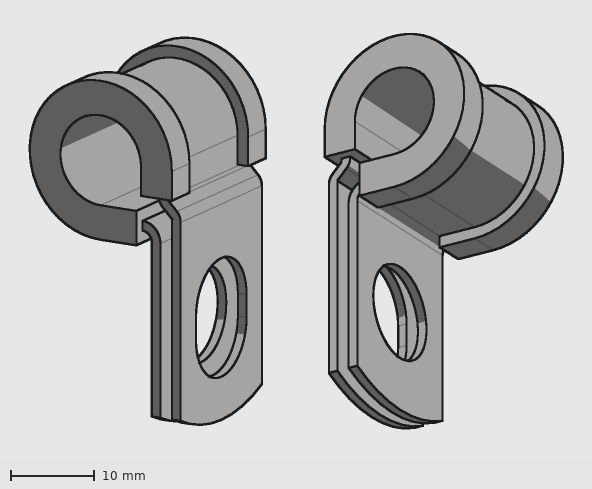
import cadquery as cq
import math


total_width = 22.1
collar_width = 4.15
collar_radius = 9.85
bore_radius = 5.55
band_radius = 8.35
band_thickness = 1.2
band_inner_radius = band_radius - band_thickness
upper_end_drop = 3.62
lower_end_reach = 4.9

tab_width = 19.1
tab_bottom_z = -33.3
tab_end_rise = 2.15
hole_diameter = 11.85
slot_length = 14.65
hole_z = -20.6
outer_tab_face_x = 10.2
lower_bend_radius = 1.25

jog_angle = math.radians(45)
jog_inner_radius = 0.6
jog_start_z = -3.8


def extrude_along_y(outline, width):
    """Extrude an XZ outline symmetrically about the XZ plane."""
    return outline.extrude(width / 2, both=True)


def loop(inner, outer, width):
    """Three-quarter ring with a straight run at each open end."""
    diagonal = math.sqrt(0.5)
    outline = (
        cq.Workplane("XZ")
        .moveTo(outer, -upper_end_drop)
        .lineTo(outer, 0)
        .threePointArc((-outer * diagonal, outer * diagonal), (0, -outer))
        .lineTo(lower_end_reach, -outer)
        .lineTo(lower_end_reach, -inner)
        .lineTo(0, -inner)
        .threePointArc((-inner * diagonal, inner * diagonal), (inner, 0))
        .lineTo(inner, -upper_end_drop)
        .close()
    )
    return extrude_along_y(outline, width)


def inner_tab():
    """Tab that turns down from the bottom end of the loop."""
    outer_bend = lower_bend_radius + band_thickness
    bend_z = -band_inner_radius - outer_bend
    outline = (
        cq.Workplane("XZ")
        .moveTo(lower_end_reach, -band_inner_radius)
        .radiusArc((lower_end_reach + outer_bend, bend_z), outer_bend)
        .lineTo(lower_end_reach + outer_bend, tab_bottom_z)
        .lineTo(lower_end_reach + lower_bend_radius, tab_bottom_z)
        .lineTo(lower_end_reach + lower_bend_radius, bend_z)
        .radiusArc((lower_end_reach, -band_radius), -lower_bend_radius)
        .close()
    )
    return extrude_along_y(outline, tab_width)


def outer_tab():
    """Tab that steps outward from the +X end of the loop, then runs down."""
    outer_bend = jog_inner_radius + band_thickness
    cos_jog = math.cos(jog_angle)
    sin_jog = math.sin(jog_angle)
    upper_center_x = band_radius + jog_inner_radius
    lower_center_x = outer_tab_face_x - outer_bend

    bend_radii = jog_inner_radius + outer_bend
    slope_dx = lower_center_x - upper_center_x + bend_radii * cos_jog
    slope_dz = slope_dx / math.tan(jog_angle)
    lower_center_z = jog_start_z - bend_radii * sin_jog - slope_dz

    def upper_bend_end(radius):
        return (upper_center_x - radius * cos_jog, jog_start_z - radius * sin_jog)

    lower_bend_start = (
        lower_center_x + outer_bend * cos_jog,
        lower_center_z + outer_bend * sin_jog,
    )

    tab_back_x = outer_tab_face_x - band_thickness
    slope_top_x, slope_top_z = upper_bend_end(outer_bend)
    inner_corner_z = slope_top_z - (tab_back_x - slope_top_x) / math.tan(jog_angle)
    outline = (
        cq.Workplane("XZ")
        .moveTo(band_radius, -upper_end_drop)
        .lineTo(band_radius, jog_start_z)
        .radiusArc(upper_bend_end(jog_inner_radius), -jog_inner_radius)
        .lineTo(*lower_bend_start)
        .radiusArc((outer_tab_face_x, lower_center_z), outer_bend)
        .lineTo(outer_tab_face_x, tab_bottom_z)
        .lineTo(tab_back_x, tab_bottom_z)
        .lineTo(tab_back_x, inner_corner_z)
        .lineTo(slope_top_x, slope_top_z)
        .radiusArc((band_inner_radius, jog_start_z), outer_bend)
        .lineTo(band_inner_radius, -upper_end_drop)
        .close()
    )
    return extrude_along_y(outline, tab_width)


def tab_face_outline():
    """Solid along X whose YZ outline is the tab with its rounded end."""
    half_width = tab_width / 2
    shoulder_z = tab_bottom_z + tab_end_rise
    return (
        cq.Workplane("YZ")
        .moveTo(-half_width, 0)
        .lineTo(-half_width, shoulder_z)
        .threePointArc((0, tab_bottom_z), (half_width, shoulder_z))
        .lineTo(half_width, 0)
        .close()
        .extrude(outer_tab_face_x)
    )


collar_center_y = (total_width - collar_width) / 2
clamp = loop(bore_radius, band_radius, total_width)
for side in (-1, 1):
    collar = loop(bore_radius, collar_radius, collar_width)
    clamp = clamp.union(collar.translate((0, side * collar_center_y, 0)))

bolt_hole = (
    cq.Workplane("YZ")
    .center(0, hole_z)
    .circle(hole_diameter / 2)
    .extrude(outer_tab_face_x)
)
bolt_slot = (
    cq.Workplane("YZ")
    .center(0, hole_z)
    .slot2D(slot_length, hole_diameter, angle=90)
    .extrude(outer_tab_face_x)
)
rounded_tab = tab_face_outline()
clamp = clamp.union(inner_tab().intersect(rounded_tab).cut(bolt_hole))
clamp = clamp.union(outer_tab().intersect(rounded_tab).cut(bolt_slot))

result = clamp